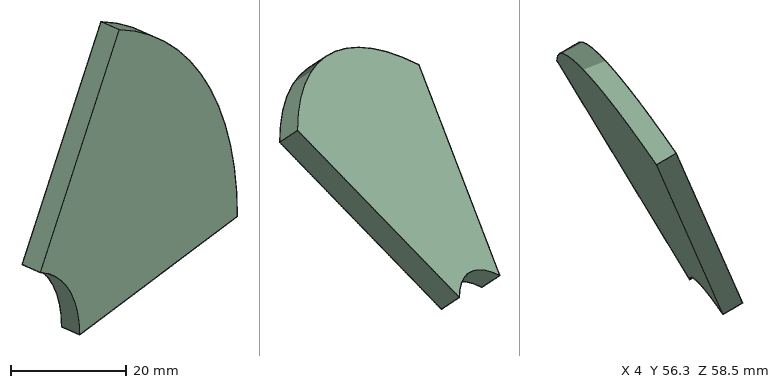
import cadquery as cq
import math

thickness = 4.0
inner_radius = 22.5
outer_radius = 67.5
sector_angle = 60.0


def polar_point(radius, angle):
    """Point in the YZ plane, with the angle in degrees measured from +Y towards +Z."""
    return (
        radius * math.cos(math.radians(angle)),
        radius * math.sin(math.radians(angle)),
    )


def ring_sector():
    """Plate bounded by two concentric arcs and two radial edges."""
    middle_angle = sector_angle / 2
    return (
        cq.Workplane("YZ")
        .moveTo(*polar_point(inner_radius, 0))
        .lineTo(*polar_point(outer_radius, 0))
        .threePointArc(
            polar_point(outer_radius, middle_angle),
            polar_point(outer_radius, sector_angle),
        )
        .lineTo(*polar_point(inner_radius, sector_angle))
        .threePointArc(
            polar_point(inner_radius, middle_angle),
            polar_point(inner_radius, 0),
        )
        .close()
        .extrude(thickness)
    )


result = ring_sector()